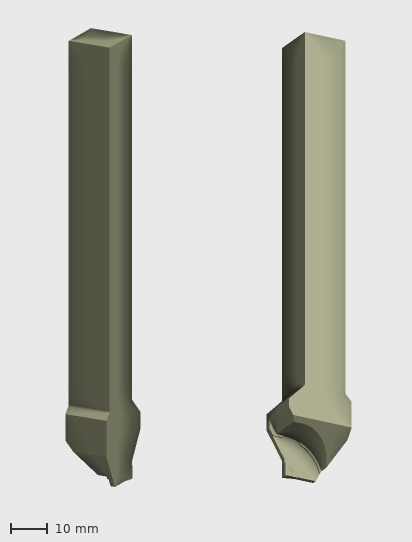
import cadquery as cq
import math

total_height = 127.0
shank_width = 12.7
shank_half = shank_width / 2
shoulder_z = 22.6
shoulder_fillet = 0.6

head_front_y = -8.3
head_back_y = 11.3
front_taper_z = 10.3
back_taper_z = 13.1
support_tip_y = -3.3
support_tip_z = 0.4
back_taper_angle = math.radians(31)

slope_top_z = 13.1
slope_end_x = 8.1
slope_end_z = 3.7

pocket_radius = 11.8
pocket_center_y = 6.4
pocket_center_z = -0.1
pocket_floor_x = 10.9
rim_width = 0.6
blade_floor_x = 11.3
back_relief_height = 2.3

insert_front_y = 1.8
insert_back_y = 7.1
cutting_face_y = 6.4
insert_top_z = pocket_center_z + pocket_radius
insert_width_out = 12.8
tip_height = 3.8
tip_length = 2.4
heel_drop_y = 0.4
heel_z = 0.4
heel_bend_z = 1.9

margin = 6.4


def prism_along_x(points, x_start, x_end):
    """Extrude a (Y, Z) outline between two X positions."""
    return cq.Workplane("YZ", origin=(x_start, 0, 0)).polyline(points).close().extrude(x_end - x_start)


def back_taper_y(z):
    """Y of the tapered back edge of the head at height z."""
    return head_back_y - (back_taper_z - z) * math.tan(back_taper_angle)


def shank_and_head():
    """Holder outline, with 45 degree shoulders from the shank to the head."""
    front_shoulder = -shank_half - head_front_y
    back_shoulder = head_back_y - shank_half
    outline = [
        (-shank_half, total_height),
        (shank_half, total_height),
        (shank_half, shoulder_z),
        (head_back_y, shoulder_z - back_shoulder),
        (head_back_y, back_taper_z),
        (back_taper_y(support_tip_z), support_tip_z),
        (support_tip_y, support_tip_z),
        (head_front_y, front_taper_z),
        (head_front_y, shoulder_z - front_shoulder),
        (-shank_half, shoulder_z),
    ]
    body = prism_along_x(outline, 0, shank_width)
    for side in (-1, 1):
        corner = cq.selectors.NearestToPointSelector((shank_half, side * shank_half, shoulder_z))
        body = body.edges("|X").edges(corner).fillet(shoulder_fillet)
    return body


def slope_cut():
    """Wedge below the sloping -X face, stopping at the pocket floor."""
    drop_per_run = (slope_top_z - slope_end_z) / slope_end_x
    floor_z = slope_top_z - drop_per_run * pocket_floor_x
    outline = [
        (0, slope_top_z),
        (pocket_floor_x, floor_z),
        (pocket_floor_x, -margin),
        (-margin, -margin),
        (-margin, slope_top_z),
    ]
    wedge = cq.Workplane("XZ", origin=(0, head_back_y + margin, 0)).polyline(outline).close()
    return wedge.extrude(head_back_y - head_front_y + 2 * margin)


def round_pocket(radius, depth):
    """Pocket from X = 0: an arc toward -Y, a flat roof toward +Y, open below."""
    front_y = pocket_center_y - radius
    diagonal = radius / math.sqrt(2)
    top_z = pocket_center_z + radius
    return (
        cq.Workplane("YZ")
        .moveTo(front_y, -margin)
        .lineTo(front_y, pocket_center_z)
        .threePointArc(
            (pocket_center_y - diagonal, pocket_center_z + diagonal), (pocket_center_y, top_z)
        )
        .lineTo(head_back_y + margin, top_z)
        .lineTo(head_back_y + margin, -margin)
        .close()
        .extrude(depth)
    )


def insert_window():
    """Part of the pocket over the insert, where the rim is cut away."""
    band = [
        (insert_front_y, -margin),
        (insert_back_y, -margin),
        (insert_back_y, insert_top_z),
        (insert_front_y, insert_top_z),
    ]
    return prism_along_x(band, 0, blade_floor_x).intersect(round_pocket(pocket_radius, blade_floor_x))


def back_relief():
    """Chip relief parallel to the tapered back edge."""
    low_z = pocket_center_z
    outline = [
        (head_back_y, back_taper_z + back_relief_height),
        (back_taper_y(low_z), low_z + back_relief_height),
        (back_taper_y(low_z), low_z),
        (head_back_y + margin, low_z),
        (head_back_y + margin, back_taper_z + back_relief_height),
    ]
    return prism_along_x(outline, 0, pocket_floor_x)


def insert_outline():
    """(Y, Z) outline of the insert; the back is trimmed by the head taper and the cutting face."""
    taper_meet_z = back_taper_z - (head_back_y - cutting_face_y) / math.tan(back_taper_angle)
    taper_start_z = back_taper_z - (head_back_y - insert_back_y) / math.tan(back_taper_angle)
    return [
        (insert_front_y, insert_top_z),
        (insert_back_y, insert_top_z),
        (insert_back_y, taper_start_z),
        (cutting_face_y, taper_meet_z),
        (cutting_face_y, 0),
        (insert_front_y + heel_drop_y, heel_z),
        (insert_front_y, heel_bend_z),
    ]


def make_insert():
    """Insert plate with a wider triangular cutting tip."""
    plate = prism_along_x(insert_outline(), blade_floor_x, shank_width)
    tip_bottom_z = heel_z * tip_length / (cutting_face_y - insert_front_y - heel_drop_y)
    tip = [
        (cutting_face_y, tip_height),
        (cutting_face_y, 0),
        (cutting_face_y - tip_length, tip_bottom_z),
    ]
    return plate.union(prism_along_x(tip, pocket_floor_x, insert_width_out))


def insert_seat():
    """Blade opening for the insert, open below and beyond the cutting face."""
    outline = [
        (insert_front_y, insert_top_z),
        (insert_back_y, insert_top_z),
        (insert_back_y, -margin),
        (insert_front_y + heel_drop_y, -margin),
        (insert_front_y + heel_drop_y, heel_z),
        (insert_front_y, heel_bend_z),
    ]
    return prism_along_x(outline, blade_floor_x, shank_width)


def make_holder():
    """Holder with its slope, pocket, relief and insert seat."""
    return (
        shank_and_head()
        .cut(slope_cut())
        .cut(round_pocket(pocket_radius, pocket_floor_x))
        .cut(round_pocket(pocket_radius - rim_width, blade_floor_x))
        .cut(insert_window())
        .cut(back_relief())
        .cut(insert_seat())
    )


holder = make_holder()
insert = make_insert()
result = cq.Compound.makeCompound([holder.solids().val(), insert.solids().val()])